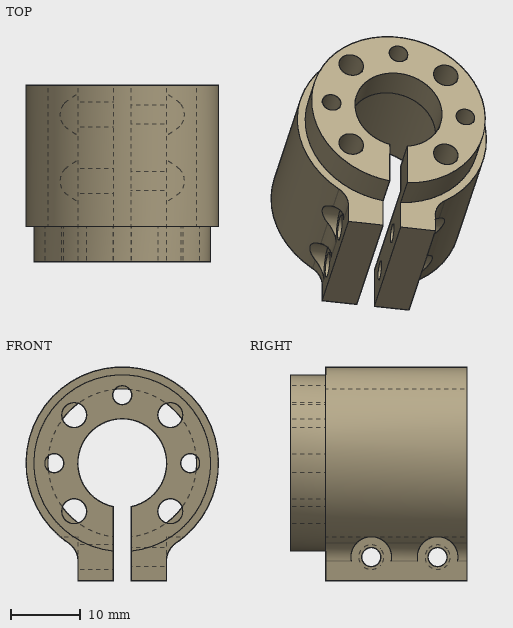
import cadquery as cq
import math

total_length = 25.4
spigot_length = 5.07
body_length = total_length - spigot_length
body_radius = 13.83
spigot_radius = 12.7
bore_radius = 6.35

pocket_radius = 10.67
front_wall = 5.07

bolt_circle_radius = 9.78
small_bolt_radius = 1.35
large_bolt_radius = 1.78
small_bolt_angles = (0, 90, 180)
large_bolt_angles = (45, 135, 225, 315)

slot_width = 2.55
ear_half_width = bore_radius
ear_bottom = -16.9
ear_fillet_radius = 3.17

screw_height = -13.5
first_screw_from_rear = 4.25
screw_spacing = 9.53
clearance_radius = 1.78
thread_radius = 1.35
spotface_radius = 2.92


def rod(radius, start, length, x=0, z=0):
    """Cylinder along +Y starting at Y = start."""
    return cq.Workplane("XZ", origin=(x, start, z)).circle(radius).extrude(-length)


def cross_rod(radius, y, start, length):
    """Screw-axis cylinder along X starting at X = start."""
    return cq.Workplane("YZ", origin=(start, y, screw_height)).circle(radius).extrude(length)


def make_body():
    """Round body whose ears blend into it with tangent concave arcs."""
    fillet_x = ear_half_width + ear_fillet_radius
    centre_distance = body_radius + ear_fillet_radius
    fillet_z = -math.sqrt(centre_distance**2 - fillet_x**2)
    tangent_x = fillet_x * body_radius / centre_distance
    tangent_z = fillet_z * body_radius / centre_distance
    mid_angle = (math.atan2(-fillet_z, -fillet_x) % (2 * math.pi) + math.pi) / 2
    mid_x = fillet_x + ear_fillet_radius * math.cos(mid_angle)
    mid_z = fillet_z + ear_fillet_radius * math.sin(mid_angle)
    return (
        cq.Workplane("XZ", origin=(0, spigot_length, 0))
        .moveTo(-ear_half_width, ear_bottom)
        .lineTo(ear_half_width, ear_bottom)
        .lineTo(ear_half_width, fillet_z)
        .threePointArc((mid_x, mid_z), (tangent_x, tangent_z))
        .threePointArc((0, body_radius), (-tangent_x, tangent_z))
        .threePointArc((-mid_x, mid_z), (-ear_half_width, fillet_z))
        .close()
        .extrude(-body_length)
    )


def cut_bolt_holes(part, radius, angles):
    for angle in angles:
        x = bolt_circle_radius * math.cos(math.radians(angle))
        z = bolt_circle_radius * math.sin(math.radians(angle))
        part = part.cut(rod(radius, 0, front_wall, x, z))
    return part


def cut_screw(part, y):
    """Clearance hole in the -X ear, tapping-size hole in the +X ear."""
    spotface_depth = body_radius - ear_half_width
    part = part.cut(cross_rod(spotface_radius, y, ear_half_width, spotface_depth))
    part = part.cut(cross_rod(spotface_radius, y, -body_radius, spotface_depth))
    part = part.cut(cross_rod(clearance_radius, y, -ear_half_width, ear_half_width))
    return part.cut(cross_rod(thread_radius, y, 0, ear_half_width))


result = make_body().union(rod(spigot_radius, 0, total_length))
result = result.cut(rod(bore_radius, 0, total_length))
result = result.cut(rod(pocket_radius, front_wall, total_length - front_wall))
result = cut_bolt_holes(result, small_bolt_radius, small_bolt_angles)
result = cut_bolt_holes(result, large_bolt_radius, large_bolt_angles)
for index in range(2):
    result = cut_screw(result, total_length - first_screw_from_rear - index * screw_spacing)

slot = cq.Workplane("XY").box(slot_width, total_length, -ear_bottom, centered=(True, False, False))
result = result.cut(slot.translate((0, 0, ear_bottom)))